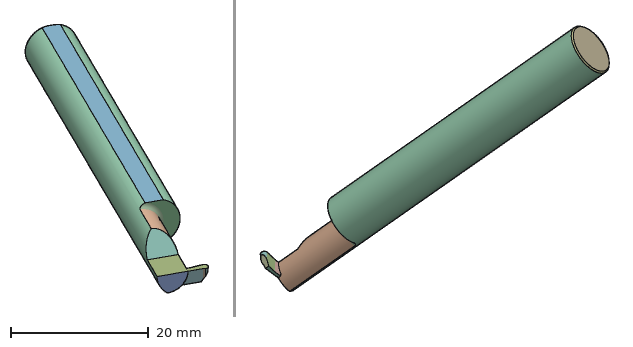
import cadquery as cq
import math

length = 63.5
shank_diameter = 7.95
height_over_flat = 7.7
shank_length = 49.5
end_chamfer = 0.22

neck_radius = 3.2
neck_side = 0.75
neck_flare = 0.7

ramp_start = 55.55
ramp_end = 58.7
head_end = 63.4

tip_radius = 0.605
prong_root = 62.55
prong_depth = 2.35
prong_draft = 4.0
tip_thickness = 0.5
relief_run = 1.15

shank_radius = shank_diameter / 2
flat_z = height_over_flat - shank_radius
neck_axis_y = neck_side - neck_radius


def bar(end_x):
    """Full round bar from X = 0 to end_x."""
    return cq.Workplane("YZ").circle(shank_radius).extrude(end_x)


def space_above_flat():
    """Block that trims the bar along the top flat."""
    return (
        cq.Workplane("XY", origin=(length / 2, 0, flat_z))
        .rect(2 * length, 2 * shank_diameter)
        .extrude(shank_diameter)
    )


def make_shank():
    shank = bar(shank_length).faces("<X").chamfer(end_chamfer)
    return shank.cut(space_above_flat())


def make_neck():
    """Offset round neck, flared at the shank and kept inside the bar."""
    bulge = neck_flare * (1 - math.sqrt(0.5))
    overlap_x = shank_length - neck_flare
    flare_radius = neck_radius + neck_flare
    neck = (
        cq.Workplane("XY", origin=(0, neck_axis_y, 0))
        .moveTo(overlap_x, 0)
        .lineTo(overlap_x, flare_radius)
        .lineTo(shank_length, flare_radius)
        .threePointArc(
            (shank_length + bulge, neck_radius + bulge),
            (shank_length + neck_flare, neck_radius),
        )
        .lineTo(head_end, neck_radius)
        .lineTo(head_end, 0)
        .close()
        .revolve(360, (0, 0, 0), (1, 0, 0))
    )
    return neck.intersect(bar(head_end)).cut(space_above_flat())


def make_ramp_cut():
    """Removes the upper half of the head behind a sloping face."""
    slope = neck_radius / (ramp_end - ramp_start)
    top_z = shank_radius
    return (
        cq.Workplane("XZ")
        .polyline([
            (ramp_end, 0),
            (length, 0),
            (length, top_z),
            (ramp_end - top_z / slope, top_z),
        ])
        .close()
        .extrude(shank_diameter, both=True)
    )


def make_prong():
    """Round-ended cutting prong with its face at Z = 0."""
    tip_x = length - tip_radius
    tip_y = shank_radius - tip_radius
    blank = (
        cq.Workplane("XY")
        .moveTo(prong_root, 0)
        .lineTo(prong_root, neck_side + tip_radius)
        .lineTo(tip_x - tip_radius, tip_y)
        .threePointArc((tip_x, shank_radius), (length, tip_y))
        .lineTo(head_end, tip_y - tip_radius / 2)
        .lineTo(head_end, 0)
        .close()
        .extrude(-prong_depth, taper=prong_draft)
    )
    relieved_section = (
        cq.Workplane("YZ", origin=(prong_root - tip_radius, 0, 0))
        .polyline([
            (0, 0),
            (shank_radius, 0),
            (shank_radius, -tip_thickness),
            (shank_radius - relief_run, -prong_depth),
            (0, -prong_depth),
        ])
        .close()
        .extrude(length - prong_root + 2 * tip_radius)
    )
    return blank.intersect(relieved_section)


result = make_shank().union(make_neck().cut(make_ramp_cut())).union(make_prong())